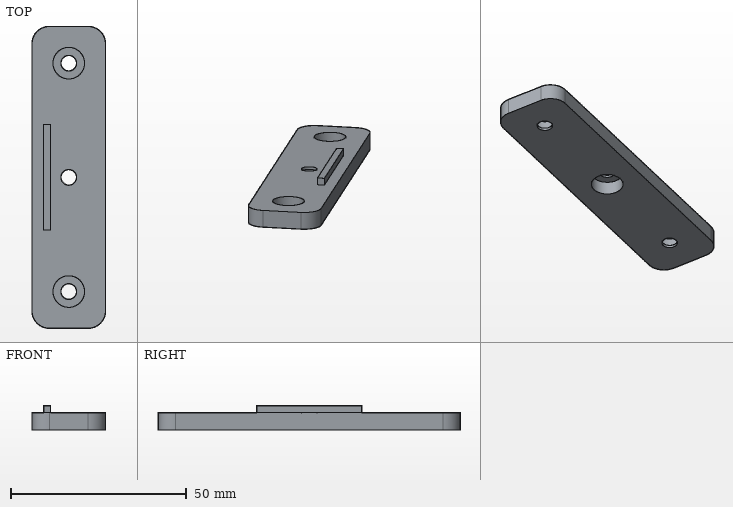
import cadquery as cq

plate_width = 21.0
plate_length = 86.0
plate_thickness = 5.0
corner_radius = 5.0

hole_diameter = 4.37
end_hole_offset = 32.5
counterbore_diameter = 9.0
counterbore_depth = 4.2

rib_width = 2.0
rib_length = 30.0
rib_height = 2.0
rib_center_x = -6.15


def make_plate():
    """Flat plate with rounded vertical corners, bottom face at Z = 0."""
    plate = cq.Workplane("XY").box(
        plate_width, plate_length, plate_thickness, centered=(True, True, False)
    )
    return plate.edges("|Z").fillet(corner_radius)


def counterbored_hole(plate, face, center_y):
    """Through hole on the centreline, with its counterbore sunk into the given face."""
    return (
        plate.faces(face)
        .workplane(origin=(0, center_y, 0))
        .cboreHole(hole_diameter, counterbore_diameter, counterbore_depth)
    )


def cut_holes(plate):
    """End holes counterbored from the top, middle hole counterbored from the bottom."""
    for center_y in (-end_hole_offset, end_hole_offset):
        plate = counterbored_hole(plate, ">Z", center_y)
    return counterbored_hole(plate, "<Z", 0)


def make_rib():
    """Straight rectangular rib standing on the top face, left of the holes."""
    return (
        cq.Workplane("XY", origin=(rib_center_x, 0, plate_thickness))
        .rect(rib_width, rib_length)
        .extrude(rib_height)
    )


result = cut_holes(make_plate()).union(make_rib())